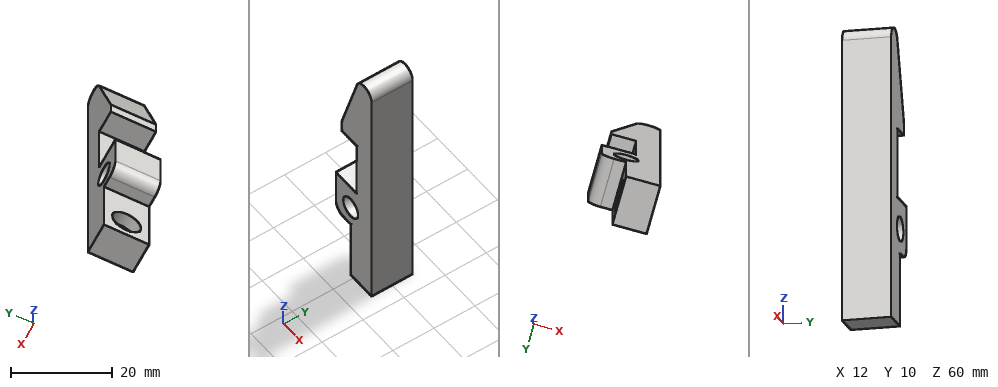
import cadquery as cq
import math

width = 12.0
depth = 10.0
height = 60.0

stem_thickness = 7.0
neck_thickness = 5.0
hook_width = 10.0
hub_bottom = 15.0
hub_top = 26.0
hook_bottom = 40.0
ramp_start = 42.85
tip_radius = 2.5
hub_corner_radius = 2.5

pivot_diameter = 5.0
pivot_from_back = 7.0
pivot_height = 20.0

blind_diameter = 6.35
blind_height = 5.0
blind_straight_depth = 2.8
blind_cone_depth = 1.85


def make_profile():
    """Side outline, with a ramp running tangentially into the round tip."""
    hook_x = width - hook_width
    tip_x = width - tip_radius
    tip_z = height - tip_radius

    run = tip_x - hook_x
    rise = tip_z - ramp_start
    ramp_angle = math.atan2(rise, run) + math.asin(tip_radius / math.hypot(run, rise))
    ramp_end = (
        tip_x - tip_radius * math.sin(ramp_angle),
        tip_z + tip_radius * math.cos(ramp_angle),
    )

    return (
        cq.Workplane("XZ")
        .moveTo(width, 0)
        .lineTo(width, tip_z)
        .threePointArc((tip_x, height), ramp_end)
        .lineTo(hook_x, ramp_start)
        .lineTo(hook_x, hook_bottom)
        .lineTo(width - neck_thickness, hook_bottom)
        .lineTo(width - neck_thickness, hub_top)
        .lineTo(0, hub_top)
        .lineTo(0, hub_bottom + hub_corner_radius)
        .radiusArc((hub_corner_radius, hub_bottom), -hub_corner_radius)
        .lineTo(width - stem_thickness, hub_bottom)
        .lineTo(width - stem_thickness, 0)
        .close()
    )


def make_pivot_hole():
    """Cylinder along Y, longer than the body is deep."""
    return (
        cq.Workplane("XZ")
        .center(width - pivot_from_back, pivot_height)
        .circle(pivot_diameter / 2)
        .extrude(depth, both=True)
    )


def make_blind_hole():
    """Drilled hole along X, revolved from its half section."""
    mouth_x = width - stem_thickness
    cone_x = mouth_x + blind_straight_depth
    radius = blind_diameter / 2
    return (
        cq.Workplane("XY")
        .polyline([
            (mouth_x, 0),
            (mouth_x, radius),
            (cone_x, radius),
            (cone_x + blind_cone_depth, 0),
        ])
        .close()
        .revolve(360, (0, 0), (1, 0))
        .translate((0, 0, blind_height))
    )


body = make_profile().extrude(depth / 2, both=True)
result = body.cut(make_pivot_hole()).cut(make_blind_hole())